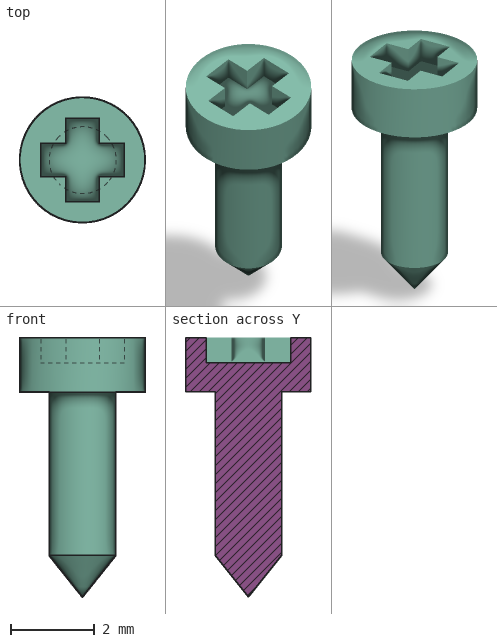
import cadquery as cq

head_diameter = 3.0
head_height = 1.3
shank_diameter = 1.6
shank_length = 3.9
tip_length = 1.0
recess_span = 2.0
recess_arm_width = 0.8
recess_depth = 0.6

head_top = head_height
shank_end = -shank_length
tip_end = shank_end - tip_length


def screw_body():
    """Head, shank and conical tip revolved as one half profile about Z."""
    head_radius = head_diameter / 2
    shank_radius = shank_diameter / 2
    return (
        cq.Workplane("XZ")
        .moveTo(0, tip_end)
        .lineTo(shank_radius, shank_end)
        .lineTo(shank_radius, 0)
        .lineTo(head_radius, 0)
        .lineTo(head_radius, head_top)
        .lineTo(0, head_top)
        .close()
        .revolve(360, (0, 0, 0), (0, 1, 0))
    )


def cross_recess():
    """Flat-bottomed cross socket sunk into the top of the head."""
    floor = cq.Workplane("XY").workplane(offset=head_top - recess_depth)
    arm_along_x = floor.rect(recess_span, recess_arm_width).extrude(recess_depth)
    arm_along_y = floor.rect(recess_arm_width, recess_span).extrude(recess_depth)
    return arm_along_x.union(arm_along_y)


result = screw_body().cut(cross_recess())